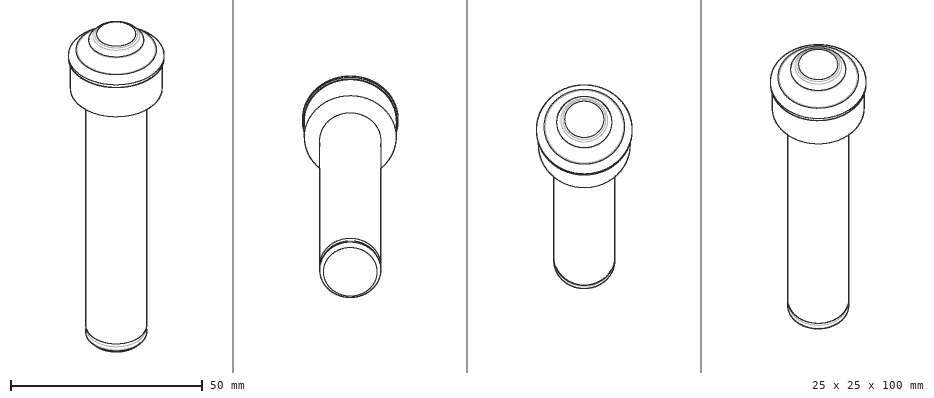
import cadquery as cq
import math

total_height = 100.0
crown_bevel_height = 99.8
crown_edge_height = 99.4
crown_base_height = 98.1
flange_top_height = 94.8
rim_top_height = 93.0
rim_bottom_height = 91.8
head_bottom_height = 82.0
shaft_top_height = 80.0
groove_top_height = 3.5
groove_bottom_height = 2.4
end_lip_height = 1.5
end_chamfer_height = 1.2

crown_face_radius = 5.1
crown_bevel_radius = 5.6
crown_edge_radius = 6.1
crown_base_radius = 7.2
flange_top_radius = 10.5
rim_radius = 12.5
head_radius = 12.0
shaft_radius = 8.0
end_face_radius = 7.0

neck_fillet = 3.0
groove_depth = 0.3
lip_setback = 0.2
rim_chamfer = 0.3

neck_top_height = flange_top_height + neck_fillet
neck_arc_offset = neck_fillet * (1 - math.sqrt(0.5))
groove_middle_height = (groove_top_height + groove_bottom_height) / 2

profile = (
    cq.Workplane("XZ")
    .moveTo(0, 0)
    .lineTo(end_face_radius, 0)
    .lineTo(shaft_radius, end_chamfer_height)
    .lineTo(shaft_radius, end_lip_height)
    .lineTo(shaft_radius - lip_setback, groove_bottom_height)
    .threePointArc(
        (shaft_radius - groove_depth, groove_middle_height),
        (shaft_radius, groove_top_height),
    )
    .lineTo(shaft_radius, shaft_top_height)
    .lineTo(head_radius, head_bottom_height)
    .lineTo(head_radius, rim_bottom_height)
    .lineTo(rim_radius - rim_chamfer, rim_bottom_height)
    .lineTo(rim_radius, rim_bottom_height + rim_chamfer)
    .lineTo(rim_radius, rim_top_height)
    .lineTo(flange_top_radius, flange_top_height)
    .lineTo(crown_base_radius + neck_fillet, flange_top_height)
    .threePointArc(
        (crown_base_radius + neck_arc_offset, flange_top_height + neck_arc_offset),
        (crown_base_radius, neck_top_height),
    )
    .lineTo(crown_base_radius, crown_base_height)
    .lineTo(crown_edge_radius, crown_edge_height)
    .lineTo(crown_bevel_radius, crown_bevel_height)
    .lineTo(crown_face_radius, total_height)
    .lineTo(0, total_height)
    .close()
)

result = profile.revolve(360, (0, 0, 0), (0, 1, 0))